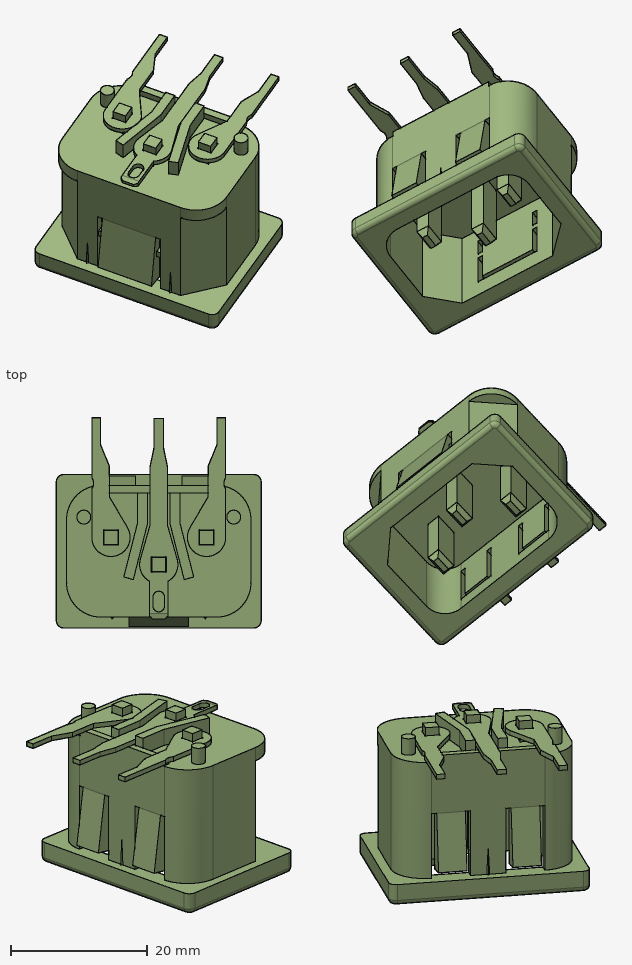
import cadquery as cq
import math

FLANGE_X = 30.0
FLANGE_Y = 22.48
FLANGE_TOP = 3.23
FLANGE_CORNER_R = 1.1
FLANGE_EDGE_R = 0.77

BODY_X = 26.98
BODY_Y = 19.28
BODY_TOP = 21.3
CORNER_R = 5.02
CHAMFER_TOP = 19.2
WALL = 1.42
CAVITY_ROOF = 16.02
FACE_Y = BODY_Y / 2

WINDOW_TOP = 13.3
LATCH_GAP = 0.77
LATCH_OUT = 1.35
LATCH_TIP_Z = 4.5
LATCH_INNER_Z = 4.13
FRONT_WINDOW_X = 10.3
BACK_WINDOW_OUTER = BODY_X / 2 - CORNER_R
BACK_WINDOW_INNER = 2.65
BRIDGE_BOTTOM = 9.15
BRIDGE_TOP = 10.15
BRIDGE_RECESS = 0.35

CRUSH_RIB_X = 6.8
CRUSH_RIB_TOP = 7.18
CRUSH_RIB_WIDTH = 0.43
CRUSH_RIB_OUT = 0.25
CRUSH_RIB_TOP_SCALE = 0.1

STUB = 2.03
STUB_TOP = 24.3
BLADE_Y = 3.48
BLADE_TOP = 22.33
TIP_Z = 2.8
TIP_LENGTH = 1.23
TIP_INSET = 0.6
LINE_PIN_X = 7.0
LINE_PIN_Y = 2.03
EARTH_PIN_Y = -1.95

PEG_X = 10.95
PEG_Y = 5.0
PEG_D = 2.03
GUIDE_TOP = 23.87
BAR_X = 16.63
BAR_WIDTH = 1.15
BARRIER_INNER_X = 1.65
BARRIER_OUTER_X = 3.15
BARRIER_BEND_Y = 3.97
BARRIER_TIP_INNER = (3.73, -4.15)
BARRIER_TIP_OUTER = (5.1, -3.75)

TERMINAL_THICKNESS = 0.75
HOLE_CLEARANCE = 0.1
HOLE = STUB + 2 * HOLE_CLEARANCE
EYE_R = 2.8
TOTAL_Y = 30.8
LINE_END_Y = TOTAL_Y - FLANGE_Y / 2
LINE_TIP_WIDTH = 1.3
LINE_NECK_WIDTH = 2.6
LINE_TAPER_START_Y = 15.6
LINE_TAPER_END_Y = 12.45
LINE_FLARE_Y = 7.95
NOTCH_DEPTH = 0.25
NOTCH_TOP_Y = 10.78
NOTCH_BOTTOM_Y = 9.12

EARTH_SETBACK = 0.12
EARTH_END_Y = LINE_END_Y - EARTH_SETBACK
EARTH_TIP_HALF = 0.7
EARTH_NECK_HALF = 1.3
EARTH_TAPER_START_Y = 15.12
EARTH_TAPER_END_Y = 12.38
EARTH_FLARE_Y = 3.75
TAIL_HALF = 1.4
TAIL_END_Y = -9.92
TAIL_CORNER = 0.45
TAIL_BEVEL_LENGTH = 0.83
TAIL_BEVEL_DROP = 0.15
SLOT_LENGTH = 3.02
SLOT_WIDTH = 1.65
SLOT_Y = -7.35


def box(x0, x1, y0, y1, z0, z1):
    """Box between two opposite corners."""
    return cq.Workplane("XY").box(x1 - x0, y1 - y0, z1 - z0, centered=False).translate((x0, y0, z0))


def tangent_point(point, center, radius, side):
    """Touching point on a circle of a line from an outside point; side is +1 or -1."""
    dx = point[0] - center[0]
    dy = point[1] - center[1]
    angle = math.atan2(dy, dx) + side * math.acos(radius / math.hypot(dx, dy))
    return center[0] + radius * math.cos(angle), center[1] + radius * math.sin(angle)


def mirrored(shape):
    """Copy of a shape on the other side of the middle plane X = 0."""
    return shape.mirror("YZ")


def make_flange():
    plate = cq.Workplane("XY").rect(FLANGE_X, FLANGE_Y).extrude(FLANGE_TOP)
    plate = plate.edges("|Z").fillet(FLANGE_CORNER_R)
    return plate.faces("<Z").edges().fillet(FLANGE_EDGE_R)


def round_block(size_x, size_y, corner_r, z0, z1):
    block = cq.Workplane("XY").workplane(offset=z0).rect(size_x, size_y).extrude(z1 - z0)
    return block.edges("|Z").fillet(corner_r)


def chamfered_block(size_x, size_y, back_r, chamfer, z0, z1):
    """Block with round back corners and 45 degree front corners."""
    block = cq.Workplane("XY").workplane(offset=z0).rect(size_x, size_y).extrude(z1 - z0)
    block = block.edges("|Z and >Y").fillet(back_r)
    return block.edges("|Z and <Y").chamfer(chamfer)


def make_cavity():
    """Socket opening, one wall thickness inside the body outline."""
    chamfer = CORNER_R - WALL * (2 - math.sqrt(2))
    return chamfered_block(BODY_X - 2 * WALL, BODY_Y - 2 * WALL, CORNER_R - WALL, chamfer, 0, CAVITY_ROOF)


def make_window(x0, x1):
    """Opening through the front wall, down to the flange."""
    return box(x0, x1, -FACE_Y, -FACE_Y + WALL, FLANGE_TOP, WINDOW_TOP)


def make_latch(x0, x1):
    """Wedge that hangs from the top of a front window and leans outward."""
    profile = [
        (-FACE_Y + WALL, WINDOW_TOP),
        (-FACE_Y, WINDOW_TOP),
        (-FACE_Y - LATCH_OUT, LATCH_TIP_Z),
        (-FACE_Y + WALL, LATCH_INNER_Z),
    ]
    return cq.Workplane("YZ").workplane(offset=x0).polyline(profile).close().extrude(x1 - x0)


def crush_rib_section(x, z, scale):
    """Triangle on the front wall at one height."""
    half_width = scale * CRUSH_RIB_WIDTH / 2
    return cq.Wire.makePolygon([
        cq.Vector(x - half_width, -FACE_Y, z),
        cq.Vector(x, -FACE_Y - scale * CRUSH_RIB_OUT, z),
        cq.Vector(x + half_width, -FACE_Y, z),
    ], close=True)


def make_crush_rib(x):
    """Three-sided rib on the front wall that tapers to a thin top."""
    foot = crush_rib_section(x, FLANGE_TOP, 1)
    top = crush_rib_section(x, CRUSH_RIB_TOP, CRUSH_RIB_TOP_SCALE)
    return cq.Workplane(cq.Solid.makeLoft([foot, top], True))


def make_barrier():
    """Bent wall between the right terminal and the earth terminal."""
    outline = [
        (BARRIER_INNER_X, FACE_Y - BAR_WIDTH),
        (BARRIER_INNER_X, BARRIER_BEND_Y),
        BARRIER_TIP_INNER,
        BARRIER_TIP_OUTER,
        (BARRIER_OUTER_X, BARRIER_BEND_Y),
        (BARRIER_OUTER_X, FACE_Y - BAR_WIDTH),
    ]
    plan = cq.Workplane("XY").workplane(offset=BODY_TOP).polyline(outline).close()
    return plan.extrude(GUIDE_TOP - BODY_TOP)


def make_peg():
    """Round peg beside the right terminal."""
    peg = cq.Workplane("XY").workplane(offset=BODY_TOP).center(PEG_X, PEG_Y)
    return peg.circle(PEG_D / 2).extrude(GUIDE_TOP - BODY_TOP)


def make_shell():
    """Flange and body with the socket opening."""
    body = chamfered_block(BODY_X, BODY_Y, CORNER_R, CORNER_R, FLANGE_TOP, CHAMFER_TOP)
    rim = round_block(BODY_X, BODY_Y, CORNER_R, CHAMFER_TOP, BODY_TOP)
    return body.union(rim).union(make_flange()).cut(make_cavity())


def add_front_latch(body):
    """One wide latch, joined to the window sides by two bridges."""
    half = FRONT_WINDOW_X / 2
    latch_half = half - LATCH_GAP
    bridge_y = -FACE_Y + BRIDGE_RECESS
    bridge = box(latch_half, half, bridge_y, -FACE_Y + WALL, BRIDGE_BOTTOM, BRIDGE_TOP)
    body = body.cut(make_window(-half, half)).union(make_latch(-latch_half, latch_half))
    return body.union(bridge).union(mirrored(bridge))


def add_back_latches(body):
    """Two narrow latches on both sides of the middle."""
    window = make_window(BACK_WINDOW_INNER, BACK_WINDOW_OUTER).mirror("XZ")
    latch = make_latch(BACK_WINDOW_INNER + LATCH_GAP, BACK_WINDOW_OUTER - LATCH_GAP).mirror("XZ")
    body = body.cut(window).cut(mirrored(window))
    return body.union(latch).union(mirrored(latch))


def add_crush_ribs(body):
    """Two ribs at the front and one in the middle of the back."""
    side_rib = make_crush_rib(CRUSH_RIB_X)
    back_rib = make_crush_rib(0).mirror("XZ")
    for rib in (side_rib, mirrored(side_rib), back_rib):
        body = body.union(rib)
    return body


def add_top_guides(body):
    """Rear bar, barriers and pegs that hold the terminals in place."""
    bar = box(-BAR_X / 2, BAR_X / 2, FACE_Y - BAR_WIDTH, FACE_Y, BODY_TOP, BLADE_TOP)
    body = body.union(bar)
    for guide in (make_barrier(), make_peg()):
        body = body.union(guide).union(mirrored(guide))
    return body


def make_housing(pins):
    body = make_shell()
    body = add_front_latch(body)
    body = add_back_latches(body)
    body = add_crush_ribs(body)
    body = add_top_guides(body)
    for pin in pins:
        body = body.cut(pin)
    return body


def make_pin(x, y):
    """Blade with a tapered lower tip and a square stub on top."""
    shank_bottom = TIP_Z + TIP_LENGTH
    blade = cq.Workplane("XY").workplane(offset=shank_bottom).rect(STUB, BLADE_Y)
    blade = blade.extrude(BLADE_TOP - shank_bottom)
    tip = cq.Workplane("XY").workplane(offset=TIP_Z).rect(STUB - 2 * TIP_INSET, BLADE_Y - 2 * TIP_INSET)
    tip = tip.workplane(offset=TIP_LENGTH).rect(STUB, BLADE_Y).loft()
    stub = cq.Workplane("XY").workplane(offset=BLADE_TOP).rect(STUB, STUB).extrude(STUB_TOP - BLADE_TOP)
    return blade.union(tip).union(stub).translate((x, y, 0))


def stub_hole(x, y):
    hole = cq.Workplane("XY").workplane(offset=BLADE_TOP).center(x, y)
    return hole.rect(HOLE, HOLE).extrude(TERMINAL_THICKNESS)


def make_line_terminal():
    """Right-hand lug with a straight outer edge and an eye around its pin."""
    outer_x = LINE_PIN_X + EYE_R
    tip_x = outer_x - LINE_TIP_WIDTH
    neck_x = outer_x - LINE_NECK_WIDTH
    notch_middle_y = (NOTCH_TOP_Y + NOTCH_BOTTOM_Y) / 2
    touch = tangent_point((neck_x, LINE_FLARE_Y), (LINE_PIN_X, LINE_PIN_Y), EYE_R, 1)
    lug = (
        cq.Workplane("XY").workplane(offset=BLADE_TOP)
        .moveTo(outer_x, LINE_END_Y)
        .lineTo(tip_x, LINE_END_Y)
        .lineTo(tip_x, LINE_TAPER_START_Y)
        .lineTo(neck_x, LINE_TAPER_END_Y)
        .lineTo(neck_x, LINE_FLARE_Y)
        .lineTo(*touch)
        .threePointArc((LINE_PIN_X, LINE_PIN_Y - EYE_R), (outer_x, LINE_PIN_Y))
        .lineTo(outer_x, NOTCH_BOTTOM_Y)
        .threePointArc((outer_x - NOTCH_DEPTH, notch_middle_y), (outer_x, NOTCH_TOP_Y))
        .close()
        .extrude(TERMINAL_THICKNESS)
    )
    return lug.cut(stub_hole(LINE_PIN_X, LINE_PIN_Y))


def make_earth_terminal():
    """Middle lug with an eye around its pin and a slotted, bevelled tail."""
    touch_x, touch_y = tangent_point((EARTH_NECK_HALF, EARTH_FLARE_Y), (0, EARTH_PIN_Y), EYE_R, -1)
    tail_y = EARTH_PIN_Y - math.sqrt(EYE_R**2 - TAIL_HALF**2)
    lug = (
        cq.Workplane("XY").workplane(offset=BLADE_TOP)
        .moveTo(-EARTH_TIP_HALF, EARTH_END_Y)
        .lineTo(EARTH_TIP_HALF, EARTH_END_Y)
        .lineTo(EARTH_TIP_HALF, EARTH_TAPER_START_Y)
        .lineTo(EARTH_NECK_HALF, EARTH_TAPER_END_Y)
        .lineTo(EARTH_NECK_HALF, EARTH_FLARE_Y)
        .lineTo(touch_x, touch_y)
        .threePointArc((EYE_R, EARTH_PIN_Y), (TAIL_HALF, tail_y))
        .lineTo(TAIL_HALF, TAIL_END_Y + TAIL_CORNER)
        .lineTo(TAIL_HALF - TAIL_CORNER, TAIL_END_Y)
        .lineTo(-TAIL_HALF + TAIL_CORNER, TAIL_END_Y)
        .lineTo(-TAIL_HALF, TAIL_END_Y + TAIL_CORNER)
        .lineTo(-TAIL_HALF, tail_y)
        .threePointArc((-EYE_R, EARTH_PIN_Y), (-touch_x, touch_y))
        .lineTo(-EARTH_NECK_HALF, EARTH_FLARE_Y)
        .lineTo(-EARTH_NECK_HALF, EARTH_TAPER_END_Y)
        .lineTo(-EARTH_TIP_HALF, EARTH_TAPER_START_Y)
        .close()
        .extrude(TERMINAL_THICKNESS)
    )

    top = BLADE_TOP + TERMINAL_THICKNESS
    bevel_start_y = TAIL_END_Y + TAIL_BEVEL_LENGTH
    for face_z, drop in ((top, -TAIL_BEVEL_DROP), (BLADE_TOP, TAIL_BEVEL_DROP)):
        profile = [(bevel_start_y, face_z), (TAIL_END_Y, face_z), (TAIL_END_Y, face_z + drop)]
        bevel = cq.Workplane("YZ").polyline(profile).close().extrude(TAIL_HALF, both=True)
        lug = lug.cut(bevel)

    slot = cq.Workplane("XY").workplane(offset=BLADE_TOP).center(0, SLOT_Y)
    slot = slot.slot2D(SLOT_LENGTH, SLOT_WIDTH, 90).extrude(TERMINAL_THICKNESS)
    return lug.cut(slot).cut(stub_hole(0, EARTH_PIN_Y))


PIN_PLACES = [(-LINE_PIN_X, LINE_PIN_Y), (LINE_PIN_X, LINE_PIN_Y), (0, EARTH_PIN_Y)]
pins = [make_pin(x, y) for x, y in PIN_PLACES]
housing = make_housing(pins)
neutral_terminal = make_line_terminal()
line_terminal = mirrored(neutral_terminal)
earth_terminal = make_earth_terminal()

result = cq.Compound.makeCompound([
    housing.val(),
    *[pin.val() for pin in pins],
    line_terminal.val(),
    neutral_terminal.val(),
    earth_terminal.val(),
])